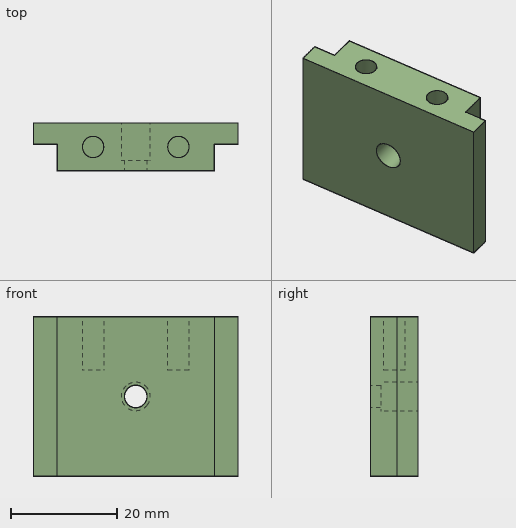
import cadquery as cq

width = 38.5
depth = 9.0
height = 30.0

plate_thickness = 4.0
body_width = 29.55

cross_hole_diameter = 4.2
counterbore_diameter = 5.4
front_web_thickness = 2.0
blind_hole_diameter = 4.0
blind_hole_spacing = 16.0
blind_hole_depth = 10.0


def make_block():
    """T-shaped section extruded over the full height, centred on the origin."""
    plate = cq.Workplane("XY").box(width, plate_thickness, height)
    plate = plate.translate((0, (depth - plate_thickness) / 2, 0))
    body = cq.Workplane("XY").box(body_width, depth, height)
    return plate.union(body)


def make_cross_hole():
    """Central hole running front to back."""
    return cq.Workplane("XZ").circle(cross_hole_diameter / 2).extrude(depth, both=True)


def make_counterbore():
    """Wider recess around the central hole, open at the back face."""
    return (
        cq.Workplane("XZ")
        .workplane(offset=-depth / 2)
        .circle(counterbore_diameter / 2)
        .extrude(depth - front_web_thickness)
    )


def make_blind_holes():
    """Pair of flat-bottomed holes sunk from the top face."""
    return (
        cq.Workplane("XY")
        .workplane(offset=height / 2)
        .rarray(blind_hole_spacing, 0.4, 2, 1)
        .circle(blind_hole_diameter / 2)
        .extrude(-blind_hole_depth)
    )


result = (
    make_block()
    .cut(make_cross_hole())
    .cut(make_counterbore())
    .cut(make_blind_holes())
)